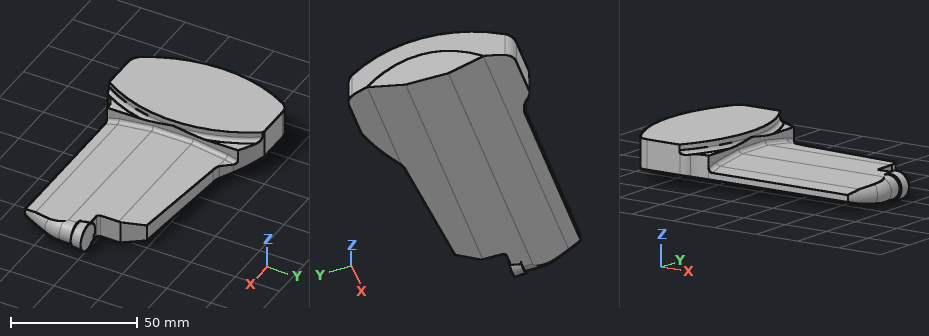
import cadquery as cq
import math

total_length = 116.3
head_length = 40.4
head_height = 17.5
head_half_width = 35.0
side_margin = 0.2
margin = 11.6

shank_thickness = 10.2
mid_height = shank_thickness / 2
flat_half_width = 9.0
facet_half_width = 24.3
facet_drop = 2.1
outer_facet_slope = 0.27

lens_radius = 62.8
corner_radius = 6.2
nose_chamfer = 7.1
ledge_height = 13.4
fillet_radius = 1.7

low_edge_y = -30.0
upper_shoulder_start = (28.8, head_half_width)
upper_shoulder_middle = (37.1, 31.3)
upper_shoulder_end = (42.1, 28.2)
upper_fillet_start = (46.8, 24.5)
upper_fillet_middle = (48.5, 23.8)
upper_fillet_end = (50.6, 23.6)
lower_shoulder_start = (head_length, low_edge_y)
lower_shoulder_fillet = (36.1, -30.7)
lower_shoulder_turn = (33.5, -32.7)
lower_shoulder_round = (32.1, -34.2)
lower_shoulder_end = (30.1, -head_half_width)
tip_corner = (96.5, 19.1)
notch_top_y = 9.7
notch_x = 101.3
notch_y = -0.5
notch_radius = 1.2

tip_radius = mid_height
tip_axis_x = 109.87
tip_bend_y = -10.5
tip_outer_bend_radius = 17.5
tip_angle = math.radians(25)

insert_radius = 5.9
insert_back_radius = 5.5
insert_depth = 4.8
insert_x = total_length - insert_radius


def facet_block(length, flat_top=None):
    """Block along X with a faceted underside and a faceted or flat top."""
    outer_half_width = head_half_width + side_margin
    outer_drop = facet_drop + outer_facet_slope * (outer_half_width - facet_half_width)
    underside = [
        (-outer_half_width, outer_drop),
        (-facet_half_width, facet_drop),
        (-flat_half_width, 0),
        (flat_half_width, 0),
        (facet_half_width, facet_drop),
        (outer_half_width, outer_drop),
    ]
    if flat_top is None:
        upper = [(y, shank_thickness - z) for y, z in reversed(underside)]
    else:
        upper = [(outer_half_width, flat_top), (-outer_half_width, flat_top)]
    return cq.Workplane("YZ").polyline(underside + upper).close().extrude(length)


def lens_cylinder():
    """Cylinder whose side is the back wall of the head."""
    return cq.Workplane("XY").center(head_length - lens_radius, 0).circle(lens_radius).extrude(head_height)


def back_wall_fillet():
    """Concave ring at the foot of the back wall."""
    r = fillet_radius
    bevel = r * (1 - math.sqrt(0.5))
    ring = (
        cq.Workplane("XZ")
        .moveTo(lens_radius - r, ledge_height)
        .lineTo(lens_radius + r, ledge_height)
        .threePointArc((lens_radius + bevel, ledge_height + bevel), (lens_radius, ledge_height + r))
        .lineTo(lens_radius - r, ledge_height + r)
        .close()
        .revolve(360, (0, 0), (0, 1))
        .translate((head_length - lens_radius, 0, 0))
    )
    return ring.intersect(facet_block(head_length, head_height))


def stepped_block():
    """Head, ledge and shank before the plan outline is cut."""
    ledge = facet_block(head_length, ledge_height)
    block = facet_block(total_length).union(ledge)
    pick_gap = 0.1
    foot_edges = cq.selectors.BoxSelector(
        (head_length - pick_gap, -head_half_width, mid_height),
        (head_length + pick_gap, head_half_width, shank_thickness + pick_gap),
    )
    block = block.edges(foot_edges).fillet(fillet_radius)
    head = facet_block(head_length, head_height).intersect(lens_cylinder())
    return block.union(head).union(back_wall_fillet())


def tip_points():
    """Start, middle and end of the path bend, and the end of the path."""
    bend_radius = tip_outer_bend_radius - tip_radius
    centre_x = tip_axis_x - bend_radius

    def on_bend(angle):
        return (centre_x + bend_radius * math.cos(angle), tip_bend_y - bend_radius * math.sin(angle))

    bend_end = on_bend(tip_angle)
    end_y = low_edge_y - margin
    end_x = bend_end[0] - (bend_end[1] - end_y) * math.tan(tip_angle)
    return on_bend(0), on_bend(tip_angle / 2), bend_end, (end_x, end_y)


def tip_bar():
    """Full-round bar along the slanting tip of the shank."""
    bend_start, bend_middle, bend_end, path_end = tip_points()
    path = (
        cq.Workplane("XY", origin=(0, 0, mid_height))
        .moveTo(tip_axis_x, notch_y)
        .lineTo(*bend_start)
        .threePointArc(bend_middle, bend_end)
        .lineTo(*path_end)
    )
    section = cq.Workplane("XZ", origin=(tip_axis_x, notch_y, mid_height)).circle(tip_radius)
    return section.sweep(path)


def corner_points(side):
    """Points of the round front corner; side is +1 or -1 along Y."""
    centre_y = head_half_width - corner_radius
    offset = lens_radius - corner_radius
    centre_x = lens_radius - math.sqrt(offset**2 - centre_y**2)
    lean = math.asin(centre_y / offset)

    def on_corner(angle):
        return (
            centre_x - corner_radius * math.cos(angle),
            side * (centre_y + corner_radius * math.sin(angle)),
        )

    return on_corner(lean), on_corner((lean + math.pi / 2) / 2), on_corner(math.pi / 2)


def head_and_shank_outline():
    """Plan outline, extruded; it stops at the axis of the rounded tip."""
    upper_wall, upper_middle, upper_flat = corner_points(1)
    lower_wall, lower_middle, lower_flat = corner_points(-1)
    bend_start, bend_middle, bend_end, path_end = tip_points()
    outline = (
        cq.Workplane("XY", origin=(0, 0, -margin))
        .moveTo(*lower_wall)
        .threePointArc((0, 0), upper_wall)
        .threePointArc(upper_middle, upper_flat)
        .lineTo(*upper_shoulder_start)
        .threePointArc(upper_shoulder_middle, upper_shoulder_end)
        .lineTo(*upper_fillet_start)
        .threePointArc(upper_fillet_middle, upper_fillet_end)
        .lineTo(*tip_corner)
        .lineTo(notch_x, notch_top_y)
        .lineTo(notch_x, notch_y + notch_radius)
        .radiusArc((notch_x + notch_radius, notch_y), -notch_radius)
        .lineTo(tip_axis_x, notch_y)
        .lineTo(*bend_start)
        .threePointArc(bend_middle, bend_end)
        .lineTo(*path_end)
        .lineTo(path_end[0] - margin, low_edge_y)
        .lineTo(*lower_shoulder_start)
        .threePointArc(lower_shoulder_fillet, lower_shoulder_turn)
        .threePointArc(lower_shoulder_round, lower_shoulder_end)
        .lineTo(*lower_flat)
        .threePointArc(lower_middle, lower_wall)
        .close()
    )
    return outline.extrude(head_height + 2 * margin)


def nose_cut():
    """Wedge that bevels the lower front edge of the head."""
    return (
        cq.Workplane("XZ", origin=(0, head_half_width, 0))
        .polyline([(0, 0), (nose_chamfer, 0), (0, nose_chamfer)])
        .close()
        .extrude(2 * head_half_width)
    )


def low_side_cut():
    """Everything beyond the straight lower edge of the shank."""
    block = cq.Workplane("XY").box(total_length, 2 * margin, 2 * head_height, centered=(False, False, True))
    return block.translate((head_length, low_edge_y - 2 * margin, 0))


def make_insert():
    """Tapered round insert with its axis along Y."""
    return (
        cq.Workplane("XZ", origin=(insert_x, 0, mid_height))
        .circle(insert_radius)
        .workplane(offset=insert_depth)
        .circle(insert_back_radius)
        .loft()
    )


def make_holder(insert):
    """Head and shank in one piece, with a matching seat for the insert."""
    plan = head_and_shank_outline().union(tip_bar())
    return stepped_block().intersect(plan).cut(nose_cut()).cut(low_side_cut()).cut(insert)


insert = make_insert()
holder = make_holder(insert)

result = cq.Compound.makeCompound([holder.val(), insert.val()])